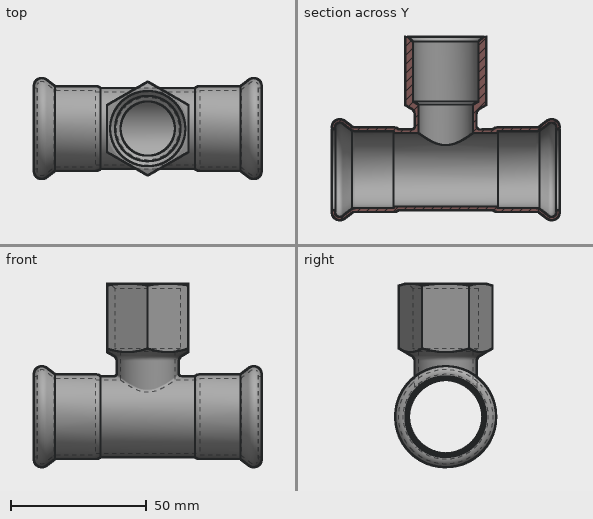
import cadquery as cq
import math

RUN_LENGTH = 84.0
BODY_RADIUS = 30.0 / 2
BODY_BORE_RADIUS = 27.0 / 2
SOCKET_RADIUS = 31.3 / 2
SOCKET_BORE_RADIUS = 28.2 / 2
SOCKET_WALL = 1.3
SOCKET_DEPTH = 22.85
SHOULDER_LENGTH = 1.8
LEAD_IN_LENGTH = 1.0

BEAD_OUTER_RADIUS = 37.3 / 2
BEAD_SECTION_RADIUS = BEAD_OUTER_RADIUS - SOCKET_RADIUS
BEAD_GROOVE_RADIUS = BEAD_SECTION_RADIUS - SOCKET_WALL
BEAD_FLANK_ANGLE = math.radians(37.5)
BEAD_FRONT_ANGLE = math.radians(-45)
LIP_RADIUS = 14.9

OVERALL_HEIGHT = 67.6
TOP_Z = OVERALL_HEIGHT - BEAD_OUTER_RADIUS
NECK_RADIUS = 23.0 / 2
NECK_BORE_RADIUS = 20.0 / 2
NECK_FILLET_RADIUS = 2.0
ROOT_FILLET_RADIUS = 0.7
ROOT_SELECTION_MARGIN = 0.8

HEX_ACROSS_FLATS = 30.0
HEX_CORNER_RADIUS = HEX_ACROSS_FLATS / math.sqrt(3)
HEX_CORNER_BOTTOM_Z = 25.1
HEX_UNDERSIDE_ANGLE = math.radians(30)
HEX_TOP_DROP = 0.7
THREAD_RADIUS = 24.1 / 2
THREAD_BOTTOM_Z = 25.2
THREAD_BOTTOM_ANGLE = math.radians(30)
MOUTH_RADIUS = 27.7 / 2
MOUTH_DEPTH = 1.8


def bead_point(section_radius, angle):
    """Point (x, r) on a bead circle; angle is measured from the outward radial direction toward +X."""
    x = BEAD_SECTION_RADIUS + section_radius * math.sin(angle)
    r = SOCKET_RADIUS + section_radius * math.cos(angle)
    return x, r


def flank_end(section_radius, end_radius):
    """Point (x, r) where the straight flank leaving a bead circle reaches end_radius."""
    x, r = bead_point(section_radius, BEAD_FLANK_ANGLE)
    return x + (r - end_radius) / math.tan(BEAD_FLANK_ANGLE), end_radius


def half_run():
    """Left half of the run: bead, socket and body, with its bore open."""
    middle_x = RUN_LENGTH / 2
    shoulder_x = SOCKET_DEPTH + SHOULDER_LENGTH
    groove_end = flank_end(BEAD_GROOVE_RADIUS, SOCKET_RADIUS - SOCKET_WALL)
    lip_height = SOCKET_RADIUS - LIP_RADIUS
    groove_front_x = BEAD_SECTION_RADIUS - math.sqrt(BEAD_GROOVE_RADIUS**2 - lip_height**2)
    profile = (
        cq.Workplane("XY")
        .moveTo(0, SOCKET_RADIUS)
        .threePointArc(
            bead_point(BEAD_SECTION_RADIUS, BEAD_FRONT_ANGLE),
            bead_point(BEAD_SECTION_RADIUS, BEAD_FLANK_ANGLE),
        )
        .lineTo(*flank_end(BEAD_SECTION_RADIUS, SOCKET_RADIUS))
        .lineTo(SOCKET_DEPTH, SOCKET_RADIUS)
        .tangentArcPoint((shoulder_x, BODY_RADIUS), relative=False)
        .lineTo(middle_x, BODY_RADIUS)
        .lineTo(middle_x, BODY_BORE_RADIUS)
        .lineTo(SOCKET_DEPTH, BODY_BORE_RADIUS)
        .lineTo(SOCKET_DEPTH, SOCKET_BORE_RADIUS)
        .lineTo(groove_end[0] + LEAD_IN_LENGTH, SOCKET_BORE_RADIUS)
        .lineTo(*groove_end)
        .lineTo(*bead_point(BEAD_GROOVE_RADIUS, BEAD_FLANK_ANGLE))
        .threePointArc(
            bead_point(BEAD_GROOVE_RADIUS, BEAD_FRONT_ANGLE),
            (groove_front_x, LIP_RADIUS),
        )
        .lineTo(0, LIP_RADIUS)
        .close()
    )
    return profile.revolve(360, (0, 0, 0), (1, 0, 0)).translate((-middle_x, 0, 0))


def branch_envelope():
    """Turned shape that trims the hexagon and forms the neck below it."""
    slope = math.tan(HEX_UNDERSIDE_ANGLE)
    neck_top_z = HEX_CORNER_BOTTOM_Z - (HEX_CORNER_RADIUS - NECK_RADIUS) * slope
    fillet_reach = NECK_FILLET_RADIUS * math.tan(math.pi / 4 - HEX_UNDERSIDE_ANGLE / 2)
    fillet_end = (
        NECK_RADIUS + fillet_reach * math.cos(HEX_UNDERSIDE_ANGLE),
        neck_top_z + fillet_reach * math.sin(HEX_UNDERSIDE_ANGLE),
    )
    return (
        cq.Workplane("XZ")
        .lineTo(NECK_RADIUS, 0)
        .lineTo(NECK_RADIUS, neck_top_z - fillet_reach)
        .tangentArcPoint(fillet_end, relative=False)
        .lineTo(HEX_CORNER_RADIUS, HEX_CORNER_BOTTOM_Z)
        .lineTo(HEX_CORNER_RADIUS, TOP_Z - HEX_TOP_DROP)
        .lineTo(HEX_ACROSS_FLATS / 2, TOP_Z)
        .lineTo(0, TOP_Z)
        .close()
        .revolve(360, (0, 0, 0), (0, 1, 0))
    )


def branch():
    """Solid branch: hexagonal head on a round neck."""
    hexagon = (
        cq.Workplane("XY")
        .polygon(6, 2 * HEX_CORNER_RADIUS)
        .extrude(TOP_Z)
        .rotate((0, 0, 0), (0, 0, 1), 90)
    )
    return hexagon.intersect(branch_envelope())


def branch_bore():
    """Neck bore, conical thread bottom, thread bore and flared mouth."""
    cone_height = (THREAD_RADIUS - NECK_BORE_RADIUS) * math.tan(THREAD_BOTTOM_ANGLE)
    return (
        cq.Workplane("XZ")
        .lineTo(NECK_BORE_RADIUS, 0)
        .lineTo(NECK_BORE_RADIUS, THREAD_BOTTOM_Z - cone_height)
        .lineTo(THREAD_RADIUS, THREAD_BOTTOM_Z)
        .lineTo(THREAD_RADIUS, TOP_Z - MOUTH_DEPTH)
        .lineTo(MOUTH_RADIUS, TOP_Z)
        .lineTo(0, TOP_Z)
        .close()
        .revolve(360, (0, 0, 0), (0, 1, 0))
    )


def root_edges(shape):
    """Edges where the neck meets the outside of the run body."""
    reach = NECK_RADIUS + ROOT_SELECTION_MARGIN
    root_box = cq.selectors.BoxSelector(
        (-reach, -reach, BODY_BORE_RADIUS / 2),
        (reach, reach, BODY_RADIUS + ROOT_SELECTION_MARGIN),
        boundingbox=True,
    )
    return shape.edges(root_box)


run_half = half_run()
run = run_half.union(run_half.mirror("YZ")).clean()
body_core = cq.Workplane("YZ").circle(BODY_BORE_RADIUS).extrude(RUN_LENGTH / 2, both=True)
outer_branch = branch().cut(body_core)

tee = run.union(outer_branch)
tee = root_edges(tee).fillet(ROOT_FILLET_RADIUS)
result = tee.cut(branch_bore())